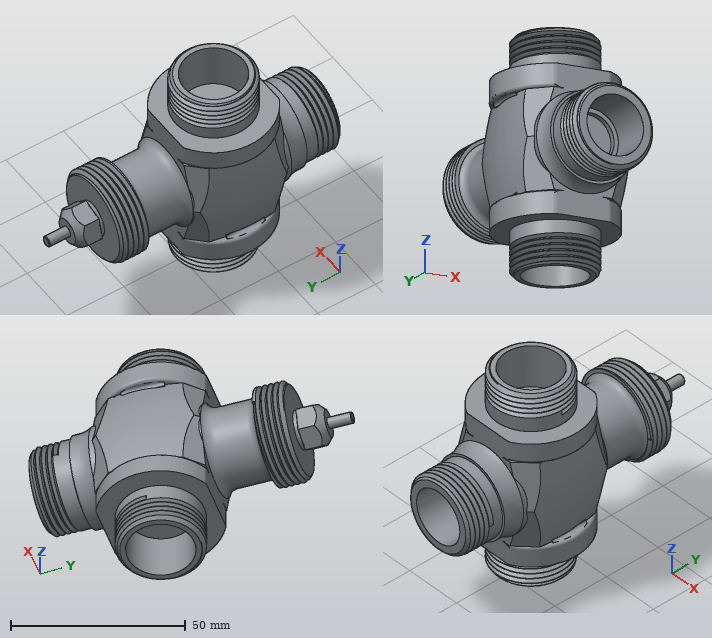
import cadquery as cq
import math

PORT_END = 35.5
FRONT_END = 36.0
NECK_END = 41.9
STEM_END = 58.2

PITCH = 1.8
THREAD_DEPTH = 1.2
GROOVE_MOUTH = 1.6
GROOVE_OVERCUT = 0.2
END_CHAMFER = 1.4

PORT_RADIUS = 13.2
THREAD_LENGTH = 8.7
PORT_BORE_RADIUS = 10.1
PORT_BORE_DEPTH = 15.1
FRONT_BORE_RADIUS = 9.2
FRONT_BORE_DEPTH = 15.1
SEAT_RADIUS = 7.8
SEAT_DEPTH = 1.9

SHOULDER_RADIUS = 14.0
SHOULDER_ROOT_RADIUS = 15.3
SHOULDER_END = 23.0
SHOULDER_BLEND_END = 21.2

NECK_RADIUS = 12.1
NECK_ROOT_RADIUS = 14.1
NECK_THREAD_RADIUS = 15.0
NECK_THREAD_START = 32.7
NECK_FLARE_START = 30.05
NECK_BLEND_END = 20.1

FLANGE_DIAMETER = 38.0
FLANGE_RADIUS = FLANGE_DIAMETER / 2
FLANGE_HALF_DEPTH = 16.8
FLANGE_BOTTOM = 15.45
FLANGE_TOP = 22.6
FLANGE_CORNER_RADIUS = 2.4
ROLL_RADIUS = 1.0

BARREL_HALF_WIDTH = 18.1
BARREL_END_HALF_WIDTH = 16.2
BARREL_PLAN_RADIUS = 60.3
BARREL_BOW_CENTRE = -1.9
CORNER_MID_REACH = 21.9
CORNER_END_REACH = 18.6
COVE_LENGTH = 13.2

NUT_ACROSS_FLATS = 12.0
NUT_TURN = -15
NUT_BOTTOM = 43.1
NUT_TOP = 50.9
NUT_CONE_RADIUS = 4.1
SHANK_RADIUS = 5.8
STEM_RADIUS = 1.7
STEM_CHAMFER = 0.3


def cylinder(radius, bottom, top):
    return cq.Workplane("XY").workplane(offset=bottom).circle(radius).extrude(top - bottom)


def thread_groove(radius, end, length):
    """Helical V groove about Z, running from beyond the end face down into the cylinder."""
    bottom = end - length
    height = length + PITCH
    half_mouth = GROOVE_MOUTH / 2 * (1 + GROOVE_OVERCUT / THREAD_DEPTH)
    path = cq.Wire.makeHelix(PITCH, height, radius).translate(cq.Vector(0, 0, bottom))
    return (
        cq.Workplane("XZ")
        .moveTo(radius - THREAD_DEPTH, bottom)
        .lineTo(radius + GROOVE_OVERCUT, bottom + half_mouth)
        .lineTo(radius + GROOVE_OVERCUT, bottom - half_mouth)
        .close()
        .sweep(cq.Workplane(path), isFrenet=True)
    )


def threaded_spigot(radius, base, end, length):
    """Chamfered spigot; the thread is cut in a longer blank, then trimmed to the spigot."""
    envelope = cylinder(radius, base, end).faces(">Z").chamfer(END_CHAMFER)
    blank = cylinder(radius, base, end + 2 * PITCH)
    return blank.cut(thread_groove(radius, end, length)).intersect(envelope)


def point_up(shape):
    return shape


def point_down(shape):
    return shape.rotate((0, 0, 0), (1, 0, 0), 180)


def point_front(shape):
    return shape.rotate((0, 0, 0), (1, 0, 0), 90)


def point_back(shape):
    return shape.rotate((0, 0, 0), (1, 0, 0), -90)


def make_flange():
    """Round plate, rounded under its rim, with two flats whose corners are rounded."""
    rim = cylinder(FLANGE_RADIUS, FLANGE_BOTTOM, FLANGE_TOP)
    flats = cq.Workplane("XY").box(2 * FLANGE_RADIUS, 2 * FLANGE_HALF_DEPTH, 2 * FLANGE_TOP)
    outline = rim.intersect(flats).edges("|Z").fillet(FLANGE_CORNER_RADIUS)
    return outline.intersect(rim.faces("<Z").edges().fillet(ROLL_RADIUS))


def make_bowed_side():
    """Barrel-shaped disc whose +X face is the bowed side of the barrel."""
    axis_x = BARREL_HALF_WIDTH - BARREL_PLAN_RADIUS
    return (
        cq.Workplane("XZ", origin=(0, BARREL_BOW_CENTRE, 0))
        .moveTo(axis_x, -FLANGE_BOTTOM)
        .lineTo(BARREL_END_HALF_WIDTH, -FLANGE_BOTTOM)
        .threePointArc((BARREL_HALF_WIDTH, 0), (BARREL_END_HALF_WIDTH, FLANGE_BOTTOM))
        .lineTo(axis_x, FLANGE_BOTTOM)
        .close()
        .revolve(360, (axis_x, 0, 0), (axis_x, 1, 0))
    )


def make_corner_wedge(turn):
    """Six-sided bar set diagonally; its sloping faces bevel two opposite barrel corners."""
    return (
        cq.Workplane("XZ")
        .moveTo(CORNER_MID_REACH, 0)
        .lineTo(CORNER_END_REACH, FLANGE_BOTTOM)
        .lineTo(-CORNER_END_REACH, FLANGE_BOTTOM)
        .lineTo(-CORNER_MID_REACH, 0)
        .lineTo(-CORNER_END_REACH, -FLANGE_BOTTOM)
        .lineTo(CORNER_END_REACH, -FLANGE_BOTTOM)
        .close()
        .extrude(2 * BARREL_HALF_WIDTH, both=True)
        .rotate((0, 0, 0), (0, 0, 1), turn)
    )


def make_barrel():
    """Block with bowed sides and four bevelled corners that spread towards mid height."""
    side = make_bowed_side()
    barrel = cq.Workplane("XY").box(2 * BARREL_HALF_WIDTH, 2 * FLANGE_HALF_DEPTH, 2 * FLANGE_BOTTOM)
    barrel = barrel.intersect(side).intersect(side.mirror("YZ"))
    for turn in (-45, 45):
        barrel = barrel.intersect(make_corner_wedge(turn))
    return barrel


def make_side_coves():
    """Hollow roundings between the flange underside and the barrel sides."""
    bottom = FLANGE_BOTTOM - ROLL_RADIUS
    reach = BARREL_END_HALF_WIDTH + ROLL_RADIUS
    coves = cq.Workplane("XY").box(2 * reach, COVE_LENGTH, ROLL_RADIUS).translate(
        (0, 0, FLANGE_BOTTOM - ROLL_RADIUS / 2)
    )
    hollows = (
        cq.Workplane("XZ")
        .pushPoints([(-reach, bottom), (reach, bottom)])
        .circle(ROLL_RADIUS)
        .extrude(COVE_LENGTH, both=True)
    )
    under_rim = cylinder(FLANGE_RADIUS - ROLL_RADIUS, bottom, FLANGE_BOTTOM)
    return coves.cut(hollows).intersect(under_rim)


def hollow_flare(wide_radius, wide_end, narrow_radius, narrow_end):
    """Trumpet about Z; its hollow arc leaves the narrow end parallel to the axis."""
    rise = wide_radius - narrow_radius
    length = wide_end - narrow_end
    arc_radius = (rise**2 + length**2) / (2 * rise)
    return (
        cq.Workplane("XZ")
        .moveTo(0, narrow_end)
        .lineTo(narrow_radius, narrow_end)
        .radiusArc((wide_radius, wide_end), math.copysign(arc_radius, length))
        .lineTo(0, wide_end)
        .close()
        .revolve(360, (0, 0, 0), (0, 1, 0))
    )


def make_front_shoulder():
    root = cylinder(SHOULDER_ROOT_RADIUS, 0, FLANGE_HALF_DEPTH)
    blend = hollow_flare(SHOULDER_ROOT_RADIUS, FLANGE_HALF_DEPTH, SHOULDER_RADIUS, SHOULDER_BLEND_END)
    return root.union(blend).union(cylinder(SHOULDER_RADIUS, FLANGE_HALF_DEPTH, SHOULDER_END))


def make_neck():
    """Plain neck, blended into the barrel and flared out to the root of its thread."""
    root = cylinder(NECK_ROOT_RADIUS, 0, FLANGE_HALF_DEPTH)
    blend = hollow_flare(NECK_ROOT_RADIUS, FLANGE_HALF_DEPTH, NECK_RADIUS, NECK_BLEND_END)
    neck = root.union(blend).union(cylinder(NECK_RADIUS, FLANGE_HALF_DEPTH, NECK_THREAD_START))
    thread_root = NECK_THREAD_RADIUS - THREAD_DEPTH
    return neck.union(hollow_flare(thread_root, NECK_THREAD_START, NECK_RADIUS, NECK_FLARE_START))


def make_housing():
    body = make_barrel()
    body = body.union(point_front(make_front_shoulder()))
    body = body.union(point_back(make_neck()))

    port_bore = cylinder(PORT_BORE_RADIUS, PORT_END - PORT_BORE_DEPTH, PORT_END)
    for place in (point_up, point_down):
        body = body.union(place(make_flange())).union(place(make_side_coves()))
        body = body.union(place(threaded_spigot(PORT_RADIUS, FLANGE_TOP, PORT_END, THREAD_LENGTH)))
        body = body.cut(place(port_bore))

    body = body.union(
        point_front(threaded_spigot(PORT_RADIUS, SHOULDER_END, FRONT_END, THREAD_LENGTH))
    )
    seat_top = FRONT_END - FRONT_BORE_DEPTH
    body = body.cut(point_front(cylinder(FRONT_BORE_RADIUS, seat_top, FRONT_END)))
    body = body.cut(point_front(cylinder(SEAT_RADIUS, seat_top - SEAT_DEPTH, seat_top)))

    neck_thread_length = NECK_END - NECK_THREAD_START
    neck_thread = threaded_spigot(NECK_THREAD_RADIUS, NECK_THREAD_START, NECK_END, neck_thread_length)
    return body.union(point_back(neck_thread))


def make_gland_nut():
    """Hexagon with a coned top on a round shank, bored for the stem."""
    corner_radius = NUT_ACROSS_FLATS / math.sqrt(3)
    hexagon = (
        cq.Workplane("XY")
        .workplane(offset=NUT_BOTTOM)
        .polygon(6, 2 * corner_radius)
        .extrude(NUT_TOP - NUT_BOTTOM)
        .rotate((0, 0, 0), (0, 0, 1), NUT_TURN)
    )
    cone = cylinder(corner_radius, NUT_BOTTOM, NUT_TOP).faces(">Z").chamfer(corner_radius - NUT_CONE_RADIUS)
    nut = hexagon.intersect(cone).union(cylinder(SHANK_RADIUS, NECK_END, NUT_BOTTOM))
    return point_back(nut.cut(cylinder(STEM_RADIUS, NECK_END, NUT_TOP)))


def make_stem():
    return point_back(cylinder(STEM_RADIUS, NECK_END, STEM_END).faces(">Z").chamfer(STEM_CHAMFER))


housing = make_housing()
gland_nut = make_gland_nut()
stem = make_stem()

result = cq.Compound.makeCompound([housing.val(), gland_nut.val(), stem.val()])